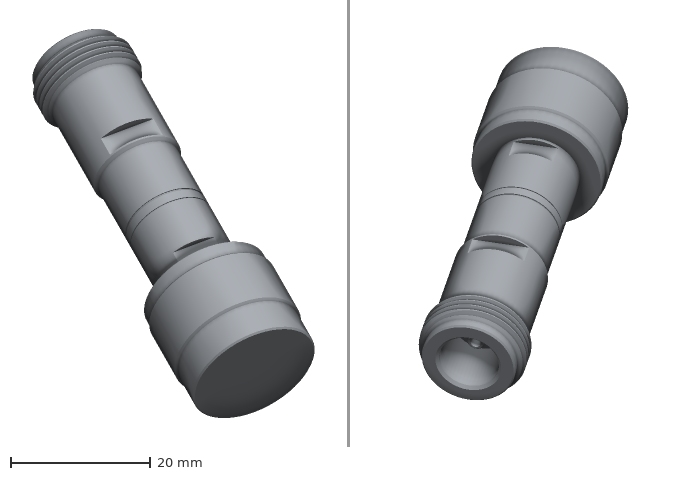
import cadquery as cq
import math

total_length = 61.2

barrel_radius = 6.9
barrel_end = 21.7
shaft_radius = 6.4
shoulder_chamfer = barrel_radius - shaft_radius
mouth_chamfer = 0.25

thread_radius = 15.875 / 2
thread_pitch = 25.4 / 24
thread_depth = 0.68
thread_root_radius = thread_radius - thread_depth
thread_start = 1.5
thread_end = 7.05
thread_height = thread_radius - barrel_radius
root_flat = 0.12
flank_angle = math.radians(30)
helix_start = 0.47
helix_turns = 7
cutter_overshoot = 0.05

shaft_grooves = [(30.85, 0.35), (32.6, 0.2)]
groove_depth = 0.15

flat_starts = [17.75, 40.45]
flat_length = 3.15
across_flats = 11.0
flat_cutter_size = 4 * barrel_radius

bore_radius = 4.4
bore_depth = 9.0
bore_countersink = 0.45
inner_bore_radius = 3.65
socket_floor = 10.5
pin_radius = 1.3
pin_tip = 4.8
pin_hole_radius = 0.75
pin_tip_chamfer = 0.25

nut_start = 44.1
nut_end_radius = 9.65
nut_grip_radius = 20.02 / 2
nut_grip_start = 46.5
nut_grip_end = 55.9
nut_step = nut_grip_radius - nut_end_radius
nut_edge_chamfer = 0.25


def revolve_profile(points):
    """Turn a closed (x, radius) outline about the X axis, starting at -Z."""
    axis_start, axis_end = (0, 0, 0), (1, 0, 0)
    below_axis = cq.Plane(origin=(0, 0, 0), xDir=(1, 0, 0), normal=(0, 1, 0))
    return cq.Workplane(below_axis).polyline(points).close().revolve(360, axis_start, axis_end)


def tube(start, length, outer_radius, inner_radius):
    """Ring centred on the X axis."""
    section = cq.Workplane("YZ", origin=(start, 0, 0)).circle(outer_radius).circle(inner_radius)
    return section.extrude(length)


def make_body_blank():
    return revolve_profile([
        (0, 0),
        (0, barrel_radius - mouth_chamfer),
        (mouth_chamfer, barrel_radius),
        (thread_start, barrel_radius),
        (thread_start + thread_height, thread_radius),
        (thread_end - thread_height, thread_radius),
        (thread_end, barrel_radius),
        (barrel_end - shoulder_chamfer, barrel_radius),
        (barrel_end, shaft_radius),
        (total_length, shaft_radius),
        (total_length, 0),
    ])


def make_thread_cutter():
    """Right-hand helical V groove, swept about Z, then laid along X so that it starts at -Z."""
    outer_radius = thread_radius + cutter_overshoot
    root_half = root_flat / 2
    mouth_half = root_half + (outer_radius - thread_root_radius) * math.tan(flank_angle)
    helix = cq.Wire.makeHelix(thread_pitch, helix_turns * thread_pitch, thread_root_radius)
    profile = cq.Workplane("XZ").polyline([
        (thread_root_radius, -root_half),
        (outer_radius, -mouth_half),
        (outer_radius, mouth_half),
        (thread_root_radius, root_half),
    ]).close()
    groove = profile.sweep(cq.Workplane(obj=helix), isFrenet=True)
    return groove.rotate((0, 0, 0), (0, 1, 0), 90).translate((helix_start, 0, 0))


def make_socket_cutter():
    """Stepped bore, leaving the hollow contact pin standing on its floor."""
    return revolve_profile([
        (0, 0),
        (0, bore_radius + bore_countersink),
        (bore_countersink, bore_radius),
        (bore_depth, bore_radius),
        (bore_depth, inner_bore_radius),
        (socket_floor, inner_bore_radius),
        (socket_floor, pin_radius),
        (pin_tip + pin_tip_chamfer, pin_radius),
        (pin_tip, pin_radius - pin_tip_chamfer),
        (pin_tip, pin_hole_radius),
        (socket_floor, pin_hole_radius),
        (socket_floor, 0),
    ])


def make_flat_cutter(start, side):
    """Block that leaves a wrench flat on the +Z (side = 1) or -Z (side = -1) face."""
    block = cq.Workplane("XY").box(flat_length, flat_cutter_size, flat_cutter_size)
    centre_height = side * (across_flats + flat_cutter_size) / 2
    return block.translate((start + flat_length / 2, 0, centre_height))


def make_body():
    body = make_body_blank().cut(make_thread_cutter()).cut(make_socket_cutter())
    for start, width in shaft_grooves:
        body = body.cut(tube(start, width, barrel_radius, shaft_radius - groove_depth))
    for start in flat_starts:
        for side in (1, -1):
            body = body.cut(make_flat_cutter(start, side))
    return body


def make_coupling_nut():
    """Stepped ring fitted round the end of the shaft."""
    return revolve_profile([
        (nut_start, shaft_radius),
        (nut_start, nut_end_radius - nut_edge_chamfer),
        (nut_start + nut_edge_chamfer, nut_end_radius),
        (nut_grip_start, nut_end_radius),
        (nut_grip_start + nut_step, nut_grip_radius),
        (nut_grip_end - nut_step, nut_grip_radius),
        (nut_grip_end, nut_end_radius),
        (total_length - nut_edge_chamfer, nut_end_radius),
        (total_length, nut_end_radius - nut_edge_chamfer),
        (total_length, shaft_radius),
    ])


body = make_body()
coupling_nut = make_coupling_nut()
result = cq.Compound.makeCompound([body.solids().val(), coupling_nut.solids().val()])